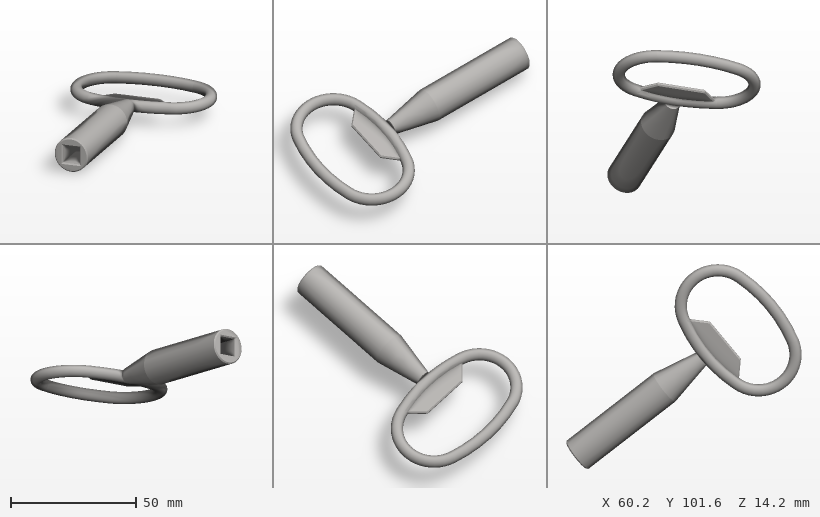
import cadquery as cq
import math

shank_radius = 7.1
shank_length = 44.9
neck_radius = 3.3
neck_end = 63.8
rim_chamfer = 0.5

socket_side = 7.2
socket_depth = 15.2
socket_chamfer = 0.5

total_length = 101.6
handle_width = 60.2
handle_height = 38.1
bar_radius = 2.4
long_arc_radius = 61.0

plate_top = 76.0
plate_top_half_width = 9.9
plate_low = 70.1
plate_low_half_width = 16.0
plate_thickness = 1.6
plate_bevel = 0.5

handle_centre = total_length - handle_height / 2
half_width = handle_width / 2 - bar_radius
half_height = handle_height / 2 - bar_radius


def make_shank():
    profile = (
        cq.Workplane("XY")
        .lineTo(shank_radius - rim_chamfer, 0)
        .lineTo(shank_radius, rim_chamfer)
        .lineTo(shank_radius, shank_length)
        .lineTo(neck_radius, neck_end)
        .lineTo(0, neck_end)
        .close()
    )
    return profile.revolve(360, (0, 0, 0), (0, 1, 0))


def make_socket():
    mouth_side = socket_side + 2 * socket_chamfer
    hole = cq.Workplane("XZ").rect(socket_side, socket_side).extrude(-socket_depth)
    mouth = (
        cq.Workplane("XZ")
        .rect(mouth_side, mouth_side)
        .workplane(offset=-socket_chamfer)
        .rect(socket_side, socket_side)
        .loft(ruled=True)
    )
    return hole.union(mouth)


def make_handle():
    long_offset = long_arc_radius - half_height
    radius_gap = long_arc_radius - half_width
    end_offset = (long_offset**2 - radius_gap**2) / (2 * radius_gap)
    joint_angle = math.atan2(long_offset, end_offset)
    joint_x = long_arc_radius * math.cos(joint_angle)
    joint_y = long_arc_radius * math.sin(joint_angle) - long_offset
    path = (
        cq.Workplane("XY", origin=(0, handle_centre, 0))
        .moveTo(-joint_x, joint_y)
        .threePointArc((0, half_height), (joint_x, joint_y))
        .threePointArc((half_width, 0), (joint_x, -joint_y))
        .threePointArc((0, -half_height), (-joint_x, -joint_y))
        .threePointArc((-half_width, 0), (-joint_x, joint_y))
        .close()
    )
    start = cq.Plane(
        origin=(-joint_x, handle_centre + joint_y, 0),
        xDir=(0, 0, 1),
        normal=(math.sin(joint_angle), math.cos(joint_angle), 0),
    )
    return cq.Workplane(start).circle(bar_radius).sweep(path)


def make_plate():
    bar_low = handle_centre - half_height
    plate = (
        cq.Workplane("XY")
        .workplane(offset=-plate_thickness / 2)
        .moveTo(-plate_top_half_width, plate_top)
        .lineTo(plate_top_half_width, plate_top)
        .lineTo(plate_low_half_width, plate_low)
        .threePointArc((0, bar_low), (-plate_low_half_width, plate_low))
        .close()
        .extrude(plate_thickness)
    )
    free_edges = plate.faces("|Z").edges("%LINE")
    return free_edges.chamfer(plate_bevel)


result = make_shank().cut(make_socket()).union(make_handle()).union(make_plate())